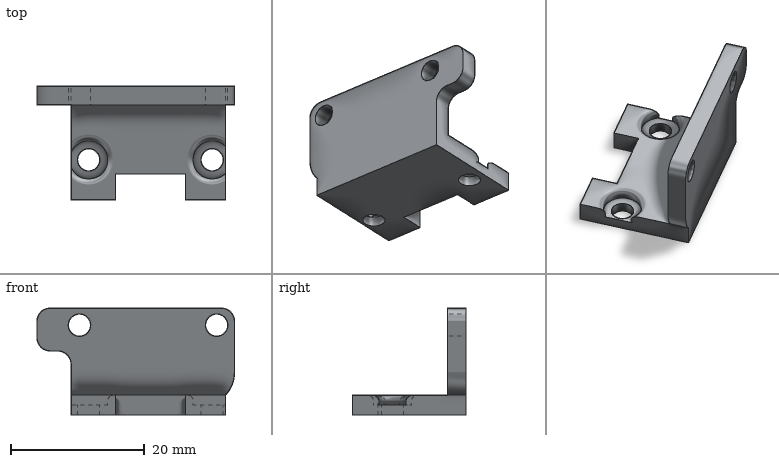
import cadquery as cq
import math

PLATE_LENGTH = 29.54
DEPTH = 17.0
HEIGHT = 16.0
PLATE_THICKNESS = 2.8
BASE_THICKNESS = 3.0

EAR_LENGTH = 5.1
EAR_BOTTOM = 9.58
CORNER_RADIUS = 2.0
RIGHT_OVERHANG = 1.34
RIGHT_ARC_RADIUS = 5.0

HOLE_DIAMETER = 3.3
PLATE_HOLE_SPACING = 20.5
PLATE_HOLE_X = 6.36
PLATE_HOLE_Z = 13.45

BASE_LEFT = EAR_LENGTH
BASE_RIGHT = PLATE_LENGTH - RIGHT_OVERHANG
NOTCH_OFFSET = 6.67
NOTCH_WIDTH = 10.4
NOTCH_DEPTH = 3.85

BASE_HOLE_SPACING = 18.45
BASE_HOLE_X = BASE_LEFT + 2.64
BASE_HOLE_Y = 6.0
BORE_RADIUS = 2.85
BORE_DEPTH = 1.45
BORE_ROUND = 0.87


def upright_plate():
    """Plate outline in XZ, extruded over the back of the part."""
    r = CORNER_RADIUS
    diagonal = r * math.sqrt(0.5)
    right_arc_x = PLATE_LENGTH - RIGHT_ARC_RADIUS
    right_arc_half_x = BASE_RIGHT - right_arc_x
    end_angle = math.acos(right_arc_half_x / RIGHT_ARC_RADIUS)
    right_arc_z = BASE_THICKNESS + RIGHT_ARC_RADIUS * math.sin(end_angle)
    right_arc_mid = (
        right_arc_x + RIGHT_ARC_RADIUS * math.cos(end_angle / 2),
        right_arc_z - RIGHT_ARC_RADIUS * math.sin(end_angle / 2),
    )
    outline = (
        cq.Workplane("XZ", origin=(0, DEPTH, 0))
        .moveTo(BASE_LEFT, 0)
        .lineTo(BASE_RIGHT, 0)
        .lineTo(BASE_RIGHT, BASE_THICKNESS)
        .threePointArc(right_arc_mid, (PLATE_LENGTH, right_arc_z))
        .lineTo(PLATE_LENGTH, HEIGHT - r)
        .threePointArc(
            (PLATE_LENGTH - r + diagonal, HEIGHT - r + diagonal),
            (PLATE_LENGTH - r, HEIGHT),
        )
        .lineTo(r, HEIGHT)
        .threePointArc((r - diagonal, HEIGHT - r + diagonal), (0, HEIGHT - r))
        .lineTo(0, EAR_BOTTOM + r)
        .threePointArc((r - diagonal, EAR_BOTTOM + r - diagonal), (r, EAR_BOTTOM))
        .lineTo(BASE_LEFT - r, EAR_BOTTOM)
        .threePointArc(
            (BASE_LEFT - r + diagonal, EAR_BOTTOM - r + diagonal),
            (BASE_LEFT, EAR_BOTTOM - r),
        )
        .close()
    )
    return outline.extrude(PLATE_THICKNESS)


def base_plate():
    """Flat base with a rectangular notch in its front edge."""
    base = cq.Workplane("XY").box(
        BASE_RIGHT - BASE_LEFT, DEPTH, BASE_THICKNESS, centered=False
    )
    notch = cq.Workplane("XY").box(
        NOTCH_WIDTH, NOTCH_DEPTH, BASE_THICKNESS, centered=False
    )
    return base.cut(notch.translate((NOTCH_OFFSET, 0, 0))).translate((BASE_LEFT, 0, 0))


def plate_hole(x):
    """Through hole in the upright plate."""
    return (
        cq.Workplane("XZ", origin=(x, DEPTH, PLATE_HOLE_Z))
        .circle(HOLE_DIAMETER / 2)
        .extrude(PLATE_THICKNESS)
    )


def base_hole(x):
    """Revolved cutter: through hole, counterbore and its convex rounded rim."""
    hole_radius = HOLE_DIAMETER / 2
    rim_radius = BORE_RADIUS + BORE_ROUND
    floor_z = BASE_THICKNESS - BORE_DEPTH
    round_start_z = BASE_THICKNESS - BORE_ROUND
    diagonal = BORE_ROUND * math.sqrt(0.5)
    return (
        cq.Workplane("XZ")
        .moveTo(0, 0)
        .lineTo(hole_radius, 0)
        .lineTo(hole_radius, floor_z)
        .lineTo(BORE_RADIUS, floor_z)
        .lineTo(BORE_RADIUS, round_start_z)
        .threePointArc(
            (rim_radius - diagonal, round_start_z + diagonal),
            (rim_radius, BASE_THICKNESS),
        )
        .lineTo(0, BASE_THICKNESS)
        .close()
        .revolve(360, (0, 0, 0), (0, 1, 0))
        .translate((x, BASE_HOLE_Y, 0))
    )


result = upright_plate().union(base_plate())
for side in range(2):
    result = result.cut(plate_hole(PLATE_HOLE_X + side * PLATE_HOLE_SPACING))
    result = result.cut(base_hole(BASE_HOLE_X + side * BASE_HOLE_SPACING))